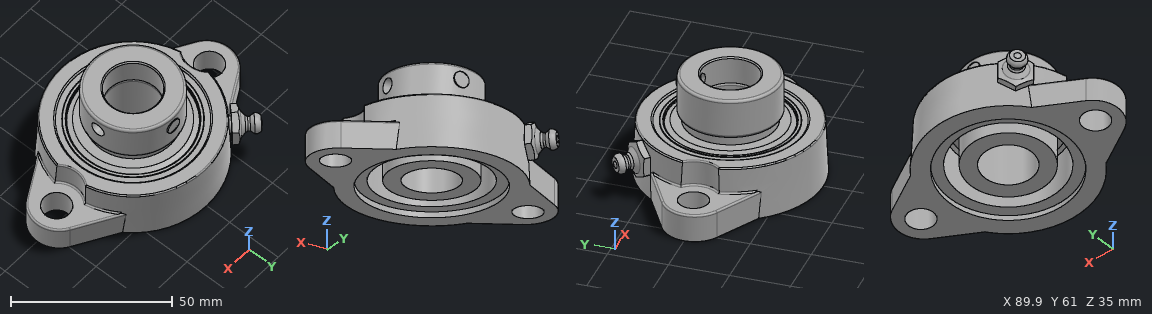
import cadquery as cq
import math

housing_height = 18.4
hub_base_radius = 30.5
hub_top_radius = 29.6
hub_edge_fillet = 0.45
flange_height = 9.5
flange_edge_fillet = 0.6
flange_root_fillet = 0.5
overall_length = 89.9
lug_end_radius = 10.4
lug_side_angle = 30
lug_root_offset = 19.8
bolt_hole_offset = 35.8
bolt_hole_diameter = 10.0
scallop_radius = 9
housing_bore_chamfer = 0.5

ring_recess = 0.45
ring_bottom = 2.0
ring_top = housing_height - ring_recess
outer_ring_radius = 24.1
outer_ring_bore = 20.05
seal_outer_radius = 22.1
seal_inner_radius = 20.9
seal_thickness = 1.1
seal_bottom = ring_top - seal_thickness
seal_edge_chamfer = 0.2
flinger_flat_radius = 18.8
flinger_rim_radius = 20.6
flinger_top = 18.3
flinger_drop = 0.7
flinger_thickness = 0.5
inner_ring_diameter = 30.5
shaft_bore_diameter = 19.1
inner_ring_top = 25.7
inner_ring_bore_fillet = 0.9

collar_diameter = 33.3
collar_bottom = 21.4
collar_top = 35.0
collar_edge_fillet = 0.9
collar_bore_chamfer = 0.45
cross_hole_height = 30.0
screw_diameter = 5.4
screw_angle = 90
screw_tip_gap = 1.1
screw_projection = 0.3
drift_hole_diameter = 5.0
drift_hole_angle = 0
drift_hole_depth = 3.6

nipple_height = 12.5
nipple_angle = 135
stem_radius = 2.7
stem_start = 27
hex_start = 30.5
hex_end = 32.9
hex_across_flats = 11.15
flare_start = 33.45
flare_base_radius = 4.3
neck_start = 34.8
neck_start_radius = 2.8
neck_middle = 35.6
neck_end = 36.3
neck_radius = 2.3
head_widest = 37.7
head_widest_radius = 3.3
head_middle = 38.85
head_middle_radius = 3.2
head_end = 39.8
head_end_radius = 2.5
ball_radius = 1.2
ball_height = 0.45


def cylinder(radius, bottom, top):
    return cq.Workplane("XY").workplane(offset=bottom).circle(radius).extrude(top - bottom)


def ring(outer_radius, inner_radius, bottom, top):
    return cylinder(outer_radius, bottom, top).cut(cylinder(inner_radius, bottom, top))


def revolved(profile):
    """A solid turned about the Z axis from (radius, height) points."""
    return cq.Workplane("XZ").polyline(profile).close().revolve(360, (0, 0, 0), (0, 1, 0))


def radial_plane(angle, height, radius=0):
    """A plane whose normal points away from the Z axis and whose X direction is tangential."""
    turn = math.radians(angle)
    outward = (math.cos(turn), math.sin(turn), 0)
    tangent = (-math.sin(turn), math.cos(turn), 0)
    origin = (radius * outward[0], radius * outward[1], height)
    return cq.Workplane(cq.Plane(origin=origin, xDir=tangent, normal=outward))


def make_flange():
    """Both lugs as one plate that runs through the hub."""
    half_length = overall_length / 2
    end_center = half_length - lug_end_radius
    side = math.radians(lug_side_angle)
    tangent_x = end_center + lug_end_radius * math.sin(side)
    tangent_y = lug_end_radius * math.cos(side)
    root_y = tangent_y + (tangent_x - lug_root_offset) * math.tan(side)
    flange = (
        cq.Workplane("XY")
        .moveTo(tangent_x, -tangent_y)
        .threePointArc((half_length, 0), (tangent_x, tangent_y))
        .lineTo(lug_root_offset, root_y)
        .lineTo(-lug_root_offset, root_y)
        .lineTo(-tangent_x, tangent_y)
        .threePointArc((-half_length, 0), (-tangent_x, -tangent_y))
        .lineTo(-lug_root_offset, -root_y)
        .lineTo(lug_root_offset, -root_y)
        .close()
        .extrude(flange_height)
    )
    return flange.faces(">Z").edges().fillet(flange_edge_fillet)


def hub_radius(height):
    return hub_base_radius - (hub_base_radius - hub_top_radius) * height / housing_height


def make_hub():
    hub = revolved([(0, 0), (hub_base_radius, 0), (hub_top_radius, housing_height), (0, housing_height)])
    return hub.union(make_root_flare()).cut(make_scallops()).faces(">Z").edges().fillet(hub_edge_fillet)


def make_root_flare():
    """The concave fillet where the round hub wall meets the flat tops of the lugs."""
    root_radius = hub_radius(flange_height)
    flare_height = flange_height + flange_root_fillet
    sag = flange_root_fillet * (1 - math.sqrt(0.5))
    flare = (
        cq.Workplane("XZ")
        .moveTo(lug_root_offset, flange_height)
        .lineTo(root_radius + flange_root_fillet, flange_height)
        .threePointArc((root_radius + sag, flange_height + sag), (hub_radius(flare_height), flare_height))
        .lineTo(lug_root_offset, flare_height)
        .close()
        .revolve(360, (0, 0, 0), (0, 1, 0))
    )
    lug_tops = make_flange().faces(">Z").wires().toPending().extrude(flange_root_fillet)
    return flare.intersect(lug_tops)


def make_scallops():
    """Room for the bolt heads, filleted at the foot where it meets the lugs."""
    flare_height = flange_height + flange_root_fillet
    sag = flange_root_fillet * (1 - math.sqrt(0.5))
    scallop = (
        cq.Workplane("XZ")
        .moveTo(0, flange_height)
        .lineTo(scallop_radius - flange_root_fillet, flange_height)
        .threePointArc((scallop_radius - sag, flange_height + sag), (scallop_radius, flare_height))
        .lineTo(scallop_radius, housing_height)
        .lineTo(0, housing_height)
        .close()
        .revolve(360, (0, 0, 0), (0, 1, 0))
    )
    right = scallop.translate((bolt_hole_offset, 0, 0))
    return right.union(scallop.translate((-bolt_hole_offset, 0, 0)))


def make_seat():
    """The bore for the outer ring, with its chamfered mouth."""
    return revolved([
        (0, 0),
        (outer_ring_radius, 0),
        (outer_ring_radius, housing_height - housing_bore_chamfer),
        (outer_ring_radius + housing_bore_chamfer, housing_height),
        (0, housing_height),
    ])


def make_housing():
    body = make_flange().union(make_hub())
    bolt_holes = (
        cq.Workplane("XY")
        .pushPoints([(bolt_hole_offset, 0), (-bolt_hole_offset, 0)])
        .circle(bolt_hole_diameter / 2)
        .extrude(flange_height)
    )
    body = body.cut(bolt_holes).cut(make_seat())
    stem_hole = radial_plane(nipple_angle, nipple_height, stem_start)
    return body.cut(stem_hole.circle(stem_radius).extrude(hex_start - stem_start))


def make_outer_ring():
    blank = ring(outer_ring_radius, outer_ring_bore, ring_bottom, ring_top)
    return blank.cut(cylinder(seal_outer_radius, seal_bottom, ring_top))


def make_seal():
    seal = ring(seal_outer_radius, seal_inner_radius, seal_bottom, ring_top)
    return seal.faces(">Z").edges().chamfer(seal_edge_chamfer)


def make_flinger():
    """A thin dished washer around the inner ring."""
    rim_top = flinger_top - flinger_drop
    sleeve_radius = inner_ring_diameter / 2
    return revolved([
        (sleeve_radius, flinger_top),
        (flinger_flat_radius, flinger_top),
        (flinger_rim_radius, rim_top),
        (flinger_rim_radius, rim_top - flinger_thickness),
        (flinger_flat_radius, flinger_top - flinger_thickness),
        (sleeve_radius, flinger_top - flinger_thickness),
    ])


def make_inner_ring():
    blank = ring(inner_ring_diameter / 2, shaft_bore_diameter / 2, ring_bottom, inner_ring_top)
    return blank.faces(">Z").edges(cq.selectors.RadiusNthSelector(0)).fillet(inner_ring_bore_fillet)


def make_collar():
    blank = cylinder(collar_diameter / 2, collar_bottom, collar_top).edges().fillet(collar_edge_fillet)
    recess = cylinder(inner_ring_diameter / 2, collar_bottom, inner_ring_top)
    bore_radius = shaft_bore_diameter / 2
    bore = revolved([
        (0, inner_ring_top),
        (bore_radius, inner_ring_top),
        (bore_radius, collar_top - collar_bore_chamfer),
        (bore_radius + collar_bore_chamfer, collar_top),
        (0, collar_top),
    ])
    screw_hole = radial_plane(screw_angle, cross_hole_height)
    screw_hole = screw_hole.circle(screw_diameter / 2).extrude(collar_diameter)
    drift_start = collar_diameter / 2 - drift_hole_depth
    drift_hole = radial_plane(drift_hole_angle, cross_hole_height, drift_start)
    drift_hole = drift_hole.circle(drift_hole_diameter / 2).extrude(drift_hole_depth)
    return blank.cut(recess).cut(bore).cut(screw_hole).cut(drift_hole)


def make_set_screw():
    start = shaft_bore_diameter / 2 + screw_tip_gap
    end = collar_diameter / 2 + screw_projection
    return radial_plane(screw_angle, cross_hole_height, start).circle(screw_diameter / 2).extrude(end - start)


def along_nipple(profile):
    """A solid turned about the nipple axis from an outline of (radius, distance) points."""
    turned = profile.close().revolve(360, (0, 0, 0), (0, 1, 0))
    return turned.rotate((0, 0, 0), (0, 0, 1), nipple_angle - 90).translate((0, 0, nipple_height))


def make_nipple_hexagon():
    """The hexagon, with the corners of its outer face turned off to a cone."""
    corner_radius = hex_across_flats / math.sqrt(3)
    cone_slope = (flare_start - hex_end) / (hex_across_flats / 2 - flare_base_radius)
    corner_end = flare_start - cone_slope * (corner_radius - flare_base_radius)
    hexagon = radial_plane(nipple_angle, nipple_height, hex_start).transformed(rotate=(0, 0, 90))
    hexagon = hexagon.polygon(6, 2 * corner_radius).extrude(flare_start - hex_start)
    envelope = along_nipple(cq.Workplane("XY").polyline([
        (0, hex_start),
        (corner_radius, hex_start),
        (corner_radius, corner_end),
        (flare_base_radius, flare_start),
        (0, flare_start),
    ]))
    return hexagon.intersect(envelope)


def make_nipple():
    """A grease nipple: stem, hexagon, flared neck, round head and ball."""
    stem = along_nipple(cq.Workplane("XY").polyline([
        (0, stem_start),
        (stem_radius, stem_start),
        (stem_radius, hex_start),
        (0, hex_start),
    ]))
    head = along_nipple(
        cq.Workplane("XY")
        .moveTo(0, flare_start)
        .lineTo(flare_base_radius, flare_start)
        .lineTo(neck_start_radius, neck_start)
        .lineTo(neck_radius, neck_middle)
        .lineTo(neck_radius, neck_end)
        .lineTo(head_widest_radius, head_widest)
        .threePointArc((head_middle_radius, head_middle), (head_end_radius, head_end))
        .lineTo(0, head_end)
    )
    ball_sphere_radius = (ball_radius**2 + ball_height**2) / (2 * ball_height)
    ball_center = head_end + ball_height - ball_sphere_radius
    ball = radial_plane(nipple_angle, nipple_height, ball_center).sphere(ball_sphere_radius)
    return stem.union(make_nipple_hexagon()).union(head).union(ball)


result = cq.Compound.makeCompound([
    make_housing().val(),
    make_outer_ring().val(),
    make_seal().val(),
    make_flinger().val(),
    make_inner_ring().val(),
    make_collar().val(),
    make_set_screw().val(),
    make_nipple().val(),
])